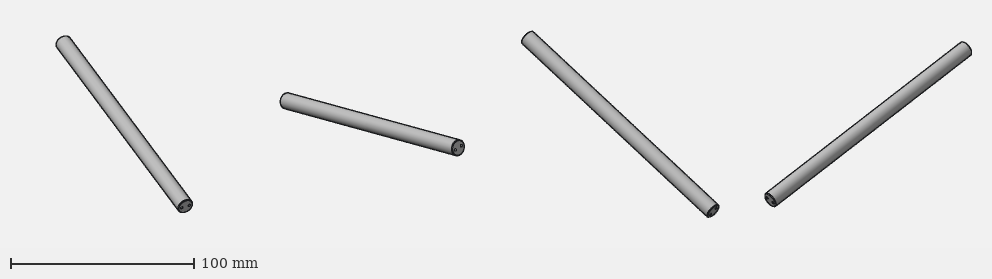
import cadquery as cq
import math

length = 150.0
diameter = 9.0
chamfer = 0.5

channel_diameter = 1.4
channel_y = 2.1
channel_z = -0.9

helix_angle = 30.0
helix_pitch = math.pi * diameter / math.tan(math.radians(helix_angle))
twist_degrees = 360.0 * length / helix_pitch


def make_rod():
    """Solid rod centred on the origin, chamfered at both ends."""
    rod = cq.Workplane("YZ").circle(diameter / 2).extrude(length / 2, both=True)
    return rod.faces("<X or >X").chamfer(chamfer)


def make_channels():
    """Two opposite channels twisting around the rod axis along its full length."""
    return (
        cq.Workplane("YZ", origin=(-length / 2, 0, 0))
        .pushPoints([(channel_y, channel_z), (-channel_y, -channel_z)])
        .circle(channel_diameter / 2)
        .twistExtrude(length, twist_degrees, combine=False)
    )


result = make_rod().cut(make_channels())